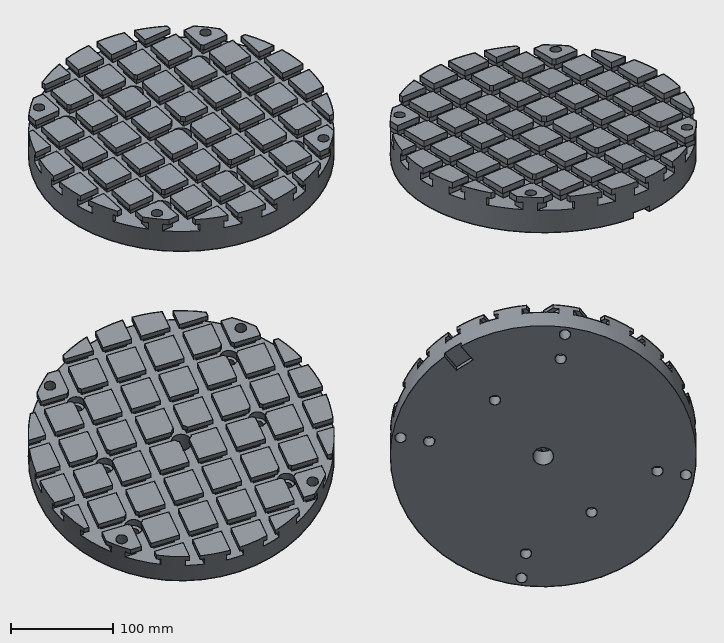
import cadquery as cq

plate_diameter = 300.0
plate_height = 40.0

slot_pitch = 40.0
slots_each_side = 3
slot_neck_width = 10.0
slot_head_width = 18.0
slot_neck_depth = 6.5
slot_head_height = 8.0

center_hole_diameter = 20.0
bolt_hole_diameter = 11.0
counterbore_diameter = 18.0
counterbore_depth_below_slots = 10.0
bolt_spacing_x = 4 * slot_pitch
bolt_spacing_y = 2 * slot_pitch
corner_hole_diameter = 11.0
corner_hole_spacing = 5 * slot_pitch

notch_width = 20.0
notch_height = 6.0
notch_length = 20.0

slot_floor = plate_height - slot_neck_depth - slot_head_height


def cylinder(points, diameter, bottom, top):
    """Vertical cylinders at the given points, between two heights."""
    return (
        cq.Workplane("XY", origin=(0, 0, bottom))
        .pushPoints(points)
        .circle(diameter / 2)
        .extrude(top - bottom)
    )


def grid_points(spacing_x, count_x, spacing_y, count_y):
    """Points of a rectangular grid centred on the plate axis."""
    return [
        (spacing_x * (i - (count_x - 1) / 2), spacing_y * (j - (count_y - 1) / 2))
        for i in range(count_x)
        for j in range(count_y)
    ]


def t_slot(offset):
    """T-slot running the full length of the plate along Y, at the given X."""
    neck = (
        cq.Workplane("XY", origin=(offset, 0, slot_floor))
        .rect(slot_neck_width, plate_diameter)
        .extrude(plate_height - slot_floor)
    )
    head = (
        cq.Workplane("XY", origin=(offset, 0, slot_floor))
        .rect(slot_head_width, plate_diameter)
        .extrude(slot_head_height)
    )
    return neck.union(head)


def cut_t_slots(body):
    """Cut the two perpendicular sets of T-slots."""
    for index in range(-slots_each_side, slots_each_side + 1):
        slot = t_slot(index * slot_pitch)
        body = body.cut(slot)
        body = body.cut(slot.rotate((0, 0, 0), (0, 0, 1), 90))
    return body


def cut_holes(body):
    """Cut the centre hole, the counterbored bolt holes and the corner holes."""
    bolts = grid_points(bolt_spacing_x, 2, bolt_spacing_y, 3)
    corners = grid_points(corner_hole_spacing, 2, corner_hole_spacing, 2)
    counterbore_floor = slot_floor - counterbore_depth_below_slots
    body = body.cut(cylinder([(0, 0)], center_hole_diameter, 0, plate_height))
    body = body.cut(cylinder(bolts, bolt_hole_diameter, 0, plate_height))
    body = body.cut(cylinder(bolts, counterbore_diameter, counterbore_floor, plate_height))
    return body.cut(cylinder(corners, corner_hole_diameter, 0, plate_height))


def cut_key_notch(body):
    """Cut the square-ended notch in the underside, open at the -X edge."""
    notch = cq.Workplane("XY").box(
        notch_length, notch_width, notch_height, centered=(False, True, False)
    )
    return body.cut(notch.translate((-plate_diameter / 2, 0, 0)))


plate = cylinder([(0, 0)], plate_diameter, 0, plate_height)
result = cut_key_notch(cut_holes(cut_t_slots(plate)))